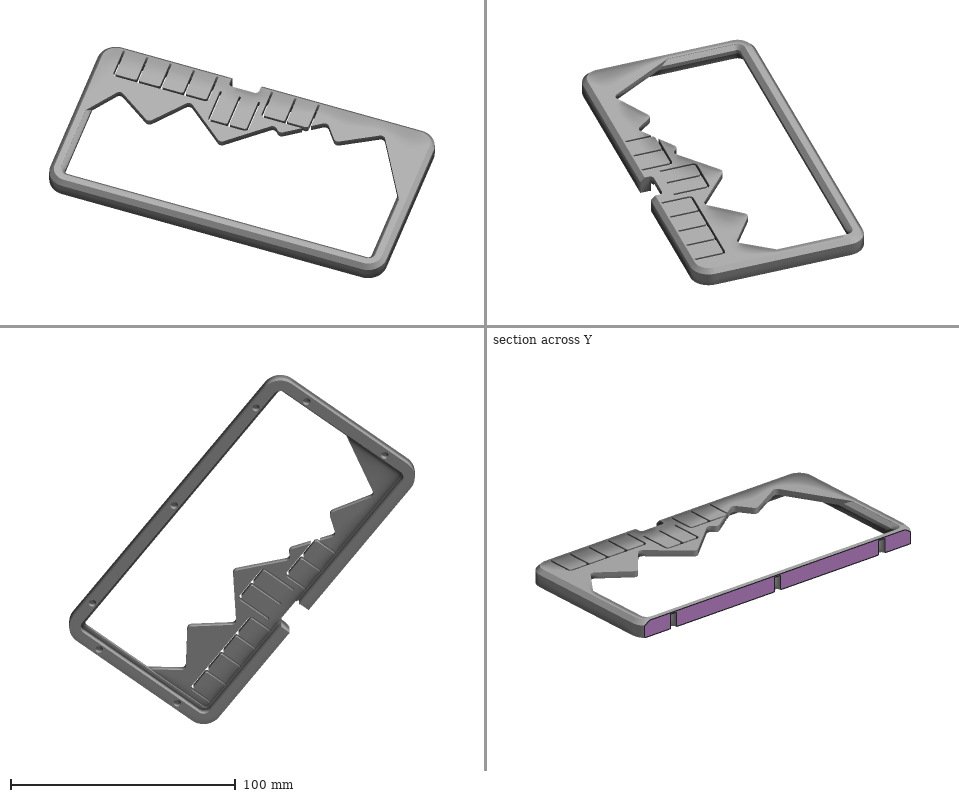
import cadquery as cq

length = 158.3
width = 81.5
height = 8.0
corner_radius = 8.5
bevel = 2.0

side_wall = 7.0
front_wall = 7.1
back_wall = 5.9
opening_radius = 1.5
back_ledge = 1.03

recess_wall = 5.0
recess_depth = 4.1
recess_radius = 3.5

plate_thickness = 3.0
ridge_radius = 2.0

slot_width = 1.03
key_radius = 1.0
left_row_start = -68.7
left_row_end = -24.7
left_row_keys = 4
right_row_start = 1.1
right_row_keys = 2
row_front = 23.7
middle_row_pitch = 9.0
middle_row_keys = 2
middle_row_front = 14.0
middle_row_back = 30.7

notch_center = -11.5
notch_width = 14.0
notch_radius = 1.7

hole_diameter = 3.3
hole_depth = 7.1
hole_inset = 2.8
hole_spacing_x = 60.2
hole_offset_y = 21.8

back_y = width / 2
bevel_bottom = height - bevel
opening_left = side_wall - length / 2
opening_front = front_wall - width / 2
opening_back = back_y - back_wall

rim_left = opening_left - bevel
rim_front = opening_front - bevel
rim_back = opening_back + back_ledge + bevel
rim_radius = opening_radius + bevel


def rounded_block(left, front, back, bottom, block_height, radius):
    """Block with rounded upright edges, symmetric in X."""
    return (
        cq.Workplane("XY", origin=(0, (front + back) / 2, bottom))
        .rect(-2 * left, back - front)
        .extrude(block_height)
        .edges("|Z")
        .fillet(radius)
    )


def make_frame():
    body = rounded_block(-length / 2, -back_y, back_y, 0, height, corner_radius)
    body = body.faces(">Z").chamfer(bevel)
    opening = rounded_block(opening_left, opening_front, opening_back, 0, height, opening_radius)
    rim = rounded_block(rim_left, rim_front, rim_back, bevel_bottom, 2 * bevel, rim_radius)
    rim = rim.faces("<Z").chamfer(bevel)
    recess_left = recess_wall - length / 2
    recess_back = back_y - recess_wall
    recess = rounded_block(recess_left, -recess_back, recess_back, 0, recess_depth, recess_radius)
    return body.cut(opening).cut(rim).cut(recess)


def mountain_opening():
    """Open area in front of the mountain line, with rounded peaks and valleys."""
    ridge = [
        (-63.0, 16.5),
        (-45.6, 4.1),
        (-31.7, 20.9),
        (-11.7, 3.8),
        (8.2, 20.9),
        (11.5, 17.3),
        (29.9, 29.9),
        (36.7, 20.7),
        (56.0, 31.7),
    ]
    left_foot = (-74.1, 1.1)
    right_foot = (74.1, -0.3)
    outline = [
        (left_foot[0], -back_y),
        left_foot,
        *ridge,
        right_foot,
        (right_foot[0], -back_y),
    ]
    opening = cq.Workplane("XY").polyline(outline).close().extrude(height)
    for x, y in ridge:
        nearest = cq.selectors.NearestToPointSelector((x, y, height / 2))
        opening = opening.edges("|Z").edges(nearest).fillet(ridge_radius)
    return opening


def key_slots(first_x, pitch, key_count, front, back):
    """Slots around a row of keys: first_x and front lie on slot centre lines, back is the slot ends."""
    half_slot = slot_width / 2
    row_length = key_count * pitch
    slots = (
        cq.Workplane("XY")
        .center(first_x + row_length / 2, (front - half_slot + back) / 2)
        .rect(row_length + slot_width, back - front + half_slot)
        .extrude(height)
        .edges("|Z and <Y")
        .fillet(key_radius + slot_width)
    )
    for index in range(key_count):
        key = (
            cq.Workplane("XY")
            .center(first_x + (index + 0.5) * pitch, (front + half_slot + back) / 2)
            .rect(pitch - slot_width, back - front - half_slot)
            .extrude(height)
            .edges("|Z and <Y")
            .fillet(key_radius)
        )
        slots = slots.cut(key)
    return slots


def make_plate():
    bottom = height - plate_thickness
    plate = rounded_block(rim_left, rim_front, rim_back, bottom, plate_thickness, rim_radius)
    plate = plate.cut(mountain_opening())
    key_pitch = (left_row_end - left_row_start) / left_row_keys
    plate = plate.cut(key_slots(left_row_start, key_pitch, left_row_keys, row_front, rim_back))
    plate = plate.cut(key_slots(right_row_start, key_pitch, right_row_keys, row_front, rim_back))
    middle_row_start = notch_center - middle_row_keys * middle_row_pitch / 2
    middle_slots = key_slots(
        middle_row_start,
        middle_row_pitch,
        middle_row_keys,
        middle_row_front,
        middle_row_back,
    )
    return plate.cut(middle_slots)


def make_notch():
    return (
        cq.Workplane("XY")
        .center(notch_center, back_y)
        .rect(notch_width, 2 * back_wall)
        .extrude(height)
        .edges("|Z")
        .fillet(notch_radius)
    )


def make_holes():
    hole_x = length / 2 - hole_inset
    hole_y = back_y - hole_inset
    points = [(column * hole_spacing_x, -hole_y) for column in (-1, 0, 1)]
    for side in (-1, 1):
        points += [(side * hole_x, row * hole_offset_y) for row in (-1, 1)]
    return cq.Workplane("XY").pushPoints(points).circle(hole_diameter / 2).extrude(hole_depth)


result = make_frame().union(make_plate()).cut(make_notch()).cut(make_holes())